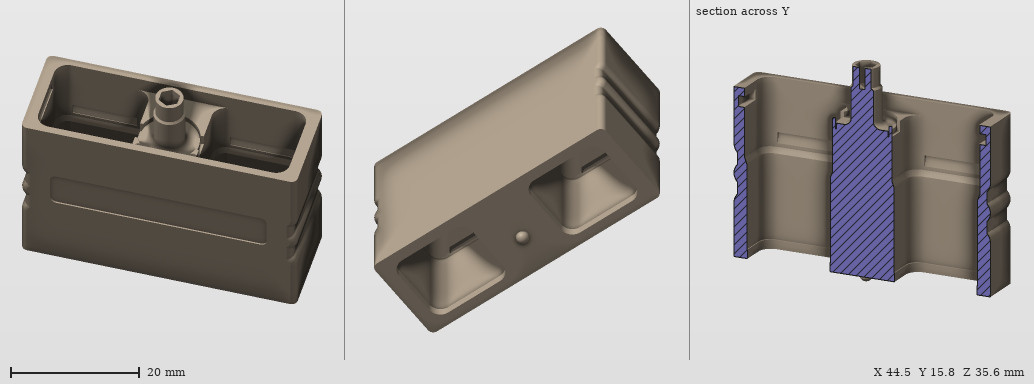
import cadquery as cq
import math

BODY_X = 44.45
BODY_Y = 15.83
BODY_Z = 28.0
CORNER_R = 1.0

GRIP_Z = 13.8
GRIP_DEPTH = 0.6
GRIP_R = 2.0
GROOVE_FLAT = 2.0

LABEL_X = 34.9
LABEL_Z = 6.0
LABEL_CENTER_Z = 15.25
LABEL_R = 1.0
LABEL_DEPTH = 0.25

CAVITY_X = 40.6
CAVITY_Y = 13.45
CAVITY_R = 2.2
WEB_X = 10.3
WEB_TOP = 25.5
POCKET_X = (CAVITY_X - WEB_X) / 2
POCKET_CENTER_X = (CAVITY_X + WEB_X) / 4
TAPER_TOP = 16.6
TAPER_HEIGHT = 1.0
TAPER_INSET = 0.38
WINDOW_INSET_X = 0.5
WINDOW_INSET_Y = 0.65
WINDOW_R = 2.1
LIP_HEIGHT = 1.5

SIDE_SLOT_LENGTH = 10.4
SIDE_SLOT_BOTTOM = 17.2
SIDE_SLOT_HEIGHT = 1.8
SIDE_SLOT_DEPTH = 0.6
SIDE_SLOT_HEEL = 0.1
END_SLOT_LENGTH = 7.8
END_SLOT_BOTTOM = 24.85
END_SLOT_HEIGHT = 1.7
END_SLOT_DEPTH = 1.1

SCREW_Y = -1.5
RECESS_R = 4.85
RECESS_FLOOR = 23.7
NOTCH_WIDTH = 3.0
FLANGE_R = 4.75
FLANGE_TOP = 24.65
FLARE_R = 1.0
SHAFT_R = 2.5
HEAD_R = 2.2
STEP_Z = 30.85
STEP_HEIGHT = 0.35
SCREW_TOP = 34.4
TIP_BASE_R = 1.1
TIP_CAP_R = 1.0
TIP_CAP_Z = -0.5
TIP_Z = -1.15
HEX_FLATS = 3.0
HEX_DEPTH = 3.5
DRILL_R = 1.25
DRILL_CONE_HEIGHT = 0.75

CUT_MARGIN = 1.0


def rounded_block(x, y, radius, bottom, top):
    """Block centred on X and Y with rounded vertical edges."""
    block = cq.Workplane("XY").workplane(offset=bottom).rect(x, y).extrude(top - bottom)
    return block.edges("|Z").fillet(radius)


def make_body():
    """Outer block with the grip profile on both ends and rounded corners."""
    face_x = BODY_X / 2
    floor_x = face_x - GRIP_DEPTH
    arc_height = math.sqrt(GRIP_R**2 - (GRIP_R - GRIP_DEPTH) ** 2)
    half_angle = math.asin(arc_height / GRIP_R) / 2
    mid_height = GRIP_R * math.sin(half_angle)
    mid_x = face_x - GRIP_R * (1 - math.cos(half_angle))
    shoulder = 2 * arc_height + GROOVE_FLAT

    profile = (
        cq.Workplane("XZ", origin=(0, BODY_Y / 2, 0))
        .lineTo(face_x, 0)
        .lineTo(face_x, GRIP_Z - shoulder)
        .threePointArc((mid_x, GRIP_Z - shoulder + mid_height), (floor_x, GRIP_Z - shoulder + arc_height))
        .lineTo(floor_x, GRIP_Z - arc_height)
        .threePointArc((face_x, GRIP_Z), (floor_x, GRIP_Z + arc_height))
        .lineTo(floor_x, GRIP_Z + shoulder - arc_height)
        .threePointArc((mid_x, GRIP_Z + shoulder - mid_height), (face_x, GRIP_Z + shoulder))
        .lineTo(face_x, BODY_Z)
        .lineTo(0, BODY_Z)
        .close()
    )
    half = profile.extrude(BODY_Y)
    body = half.union(half.mirror("YZ")).clean()
    front_edges = body.faces("<Y").edges("not |X").vals()
    back_edges = body.faces(">Y").edges("not |X").vals()
    return body.newObject(front_edges + back_edges).fillet(CORNER_R)


def make_label_recess():
    """Shallow rounded rectangle sunk into the -Y face."""
    block = cq.Workplane("XY").box(LABEL_X, 2 * LABEL_DEPTH, LABEL_Z)
    return block.edges("|Y").fillet(LABEL_R).translate((0, -BODY_Y / 2, LABEL_CENTER_Z))


def make_pocket():
    """One pocket: straight walls, a taper, a narrower well and a window through the lip."""
    well_x = POCKET_X - 2 * TAPER_INSET
    well_y = CAVITY_Y - 2 * TAPER_INSET
    well_r = CAVITY_R - TAPER_INSET
    window_x = POCKET_X - 2 * WINDOW_INSET_X
    window_y = CAVITY_Y - 2 * WINDOW_INSET_Y

    upper = rounded_block(POCKET_X, CAVITY_Y, CAVITY_R, TAPER_TOP, BODY_Z)
    well = rounded_block(well_x, well_y, well_r, LIP_HEIGHT, TAPER_TOP)
    window = rounded_block(window_x, window_y, WINDOW_R, -CUT_MARGIN, BODY_Z)
    taper_angle = math.degrees(math.atan(TAPER_INSET / TAPER_HEIGHT))
    taper = (
        cq.Workplane("XY")
        .workplane(offset=TAPER_TOP)
        .sketch()
        .rect(POCKET_X, CAVITY_Y)
        .vertices()
        .fillet(CAVITY_R)
        .finalize()
        .extrude(-TAPER_HEIGHT, taper=taper_angle)
    )
    return upper.union(well).union(window).union(taper)


def make_side_slot():
    """Wedge slot in the +Y cavity wall, deepest at its top, centred on X = 0."""
    wall_y = CAVITY_Y / 2
    top = SIDE_SLOT_BOTTOM + SIDE_SLOT_HEIGHT
    return (
        cq.Workplane("YZ", origin=(-SIDE_SLOT_LENGTH / 2, 0, 0))
        .moveTo(wall_y - CUT_MARGIN, SIDE_SLOT_BOTTOM)
        .lineTo(wall_y + SIDE_SLOT_HEEL, SIDE_SLOT_BOTTOM)
        .lineTo(wall_y + SIDE_SLOT_DEPTH, top)
        .lineTo(wall_y - CUT_MARGIN, top)
        .close()
        .extrude(SIDE_SLOT_LENGTH)
    )


def make_end_slot():
    """Rectangular slot in the +X cavity wall, centred on Y = 0."""
    start_x = CAVITY_X / 2 - CUT_MARGIN
    length_x = END_SLOT_DEPTH + CUT_MARGIN
    centering = (False, True, False)
    slot = cq.Workplane("XY").box(length_x, END_SLOT_LENGTH, END_SLOT_HEIGHT, centered=centering)
    return slot.translate((start_x, 0, END_SLOT_BOTTOM))


def make_flange_recess():
    """Round recess in the web top, opened to both pockets by a straight notch."""
    height = WEB_TOP + CUT_MARGIN - RECESS_FLOOR
    plane = cq.Workplane("XY", origin=(0, SCREW_Y, RECESS_FLOOR))
    recess = plane.circle(RECESS_R).extrude(height)
    notch = plane.rect(WEB_X + CUT_MARGIN, NOTCH_WIDTH).extrude(height)
    return recess.union(notch)


def make_screw():
    """Turned screw with flange, flared shaft, hex socket and rounded tip."""
    flare_mid = FLARE_R * (1 - math.sqrt(0.5))
    cap_height = TIP_CAP_Z - TIP_Z
    cap_sphere_r = (TIP_CAP_R**2 + cap_height**2) / (2 * cap_height)
    cap_half_angle = math.asin(TIP_CAP_R / cap_sphere_r) / 2
    cap_mid_x = cap_sphere_r * math.sin(cap_half_angle)
    cap_mid_z = TIP_Z + cap_sphere_r * (1 - math.cos(cap_half_angle))
    screw = (
        cq.Workplane("XZ")
        .moveTo(0, TIP_Z)
        .threePointArc((cap_mid_x, cap_mid_z), (TIP_CAP_R, TIP_CAP_Z))
        .lineTo(TIP_BASE_R, 0)
        .lineTo(TIP_BASE_R, RECESS_FLOOR)
        .lineTo(FLANGE_R, RECESS_FLOOR)
        .lineTo(FLANGE_R, FLANGE_TOP)
        .lineTo(SHAFT_R + FLARE_R, FLANGE_TOP)
        .threePointArc((SHAFT_R + flare_mid, FLANGE_TOP + flare_mid), (SHAFT_R, FLANGE_TOP + FLARE_R))
        .lineTo(SHAFT_R, STEP_Z)
        .lineTo(HEAD_R, STEP_Z + STEP_HEIGHT)
        .lineTo(HEAD_R, SCREW_TOP)
        .lineTo(0, SCREW_TOP)
        .close()
        .revolve(360, (0, 0, 0), (0, 1, 0))
    )
    socket_floor = SCREW_TOP - HEX_DEPTH
    hex_corners = HEX_FLATS / math.cos(math.pi / 6)
    socket = (
        cq.Workplane("XY", origin=(0, 0, socket_floor))
        .transformed(rotate=(0, 0, 90))
        .polygon(6, hex_corners)
        .extrude(HEX_DEPTH)
    )
    cone = cq.Solid.makeCone(0, DRILL_R, DRILL_CONE_HEIGHT).translate(
        cq.Vector(0, 0, socket_floor - DRILL_CONE_HEIGHT)
    )
    return screw.cut(socket).cut(cq.Workplane(cone)).translate((0, SCREW_Y, 0))


body = make_body().cut(make_label_recess())
body = body.cut(rounded_block(CAVITY_X, CAVITY_Y, CAVITY_R, WEB_TOP, BODY_Z + CUT_MARGIN))

side_slot = make_side_slot()
end_slot = make_end_slot()
for side in (-1, 1):
    pocket_x = side * POCKET_CENTER_X
    body = body.cut(make_pocket().translate((pocket_x, 0, 0)))
    body = body.cut(side_slot.translate((pocket_x, 0, 0)))
    body = body.cut(side_slot.mirror("XZ").translate((pocket_x, 0, 0)))
body = body.cut(end_slot).cut(end_slot.mirror("YZ"))

body = body.cut(make_flange_recess())
result = body.union(make_screw())